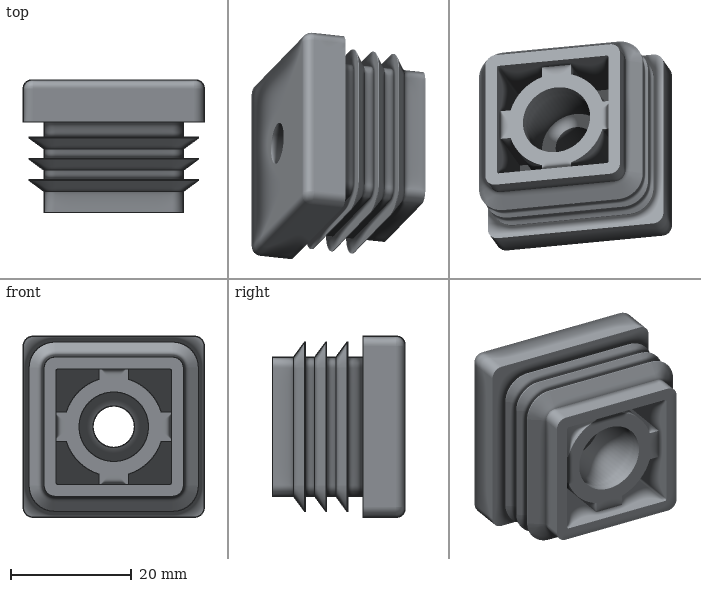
import cadquery as cq
import math

length = 22.0
cap_width = 30.0
cap_thickness = 7.0
corner_radius = 1.7
cap_edge_fillet = 1.5
cap_start = length - cap_thickness

shank_width = 23.0
socket_width = 19.08
socket_corner_radius = 0.3
socket_depth = cap_start

fin_count = 3
fin_pitch = 3.5
fin_first_start = 3.5
fin_length = 1.98
fin_height = 2.5
fin_tip_land = 0.15

boss_face = 2.5
boss_diameter = 16.45
arm_width = 4.92
bore_diameter = 11.5

bushing_hole_diameter = 6.8
bushing_length = cap_thickness


def section_at(y):
    """XZ sketch plane at height y, with its normal along +Y."""
    return cq.Workplane(cq.Plane(origin=(0, y, 0), xDir=(1, 0, 0), normal=(0, 1, 0)))


def square_bar(y_start, y_end, width, edge_radius):
    """Square bar along Y with rounded long edges."""
    bar = section_at(y_start).rect(width, width).extrude(y_end - y_start)
    return bar.edges("|Y").fillet(edge_radius)


def round_bar(y_start, y_end, diameter):
    """Cylinder along Y."""
    return section_at(y_start).circle(diameter / 2).extrude(y_end - y_start)


def make_fin(y_start):
    """Fin with a sloped flank and a flat back; its corners are cones around the shank corners."""
    slope_length = fin_length - fin_tip_land
    flare_angle = math.degrees(math.atan2(fin_height, slope_length))
    outline = cq.Sketch().rect(shank_width, shank_width).vertices().fillet(corner_radius)
    flank = section_at(y_start).placeSketch(outline).extrude(slope_length, taper=-flare_angle)
    tip = square_bar(
        y_start + slope_length,
        y_start + fin_length,
        shank_width + 2 * fin_height,
        corner_radius + fin_height,
    )
    return flank.union(tip)


def make_boss():
    """Round boss with a cross of arms that reach the socket walls."""
    boss_length = cap_start - boss_face
    boss = round_bar(boss_face, cap_start, boss_diameter)
    for arm_size in ((socket_width, arm_width), (arm_width, socket_width)):
        boss = boss.union(section_at(boss_face).rect(*arm_size).extrude(boss_length))
    return boss


def make_plug():
    cap = square_bar(cap_start, length, cap_width, corner_radius)
    cap = cap.faces(">Y").edges().fillet(cap_edge_fillet)
    plug = cap.union(square_bar(0, cap_start, shank_width, corner_radius))
    for index in range(fin_count):
        plug = plug.union(make_fin(fin_first_start + index * fin_pitch))
    plug = plug.cut(square_bar(0, socket_depth, socket_width, socket_corner_radius))
    plug = plug.union(make_boss())
    return plug.cut(round_bar(0, length, bore_diameter))


def make_bushing():
    bushing_start = length - bushing_length
    bushing = round_bar(bushing_start, length, bore_diameter)
    return bushing.cut(round_bar(bushing_start, length, bushing_hole_diameter))


plug = make_plug()
bushing = make_bushing()

result = cq.Compound.makeCompound([plug.val(), bushing.val()])